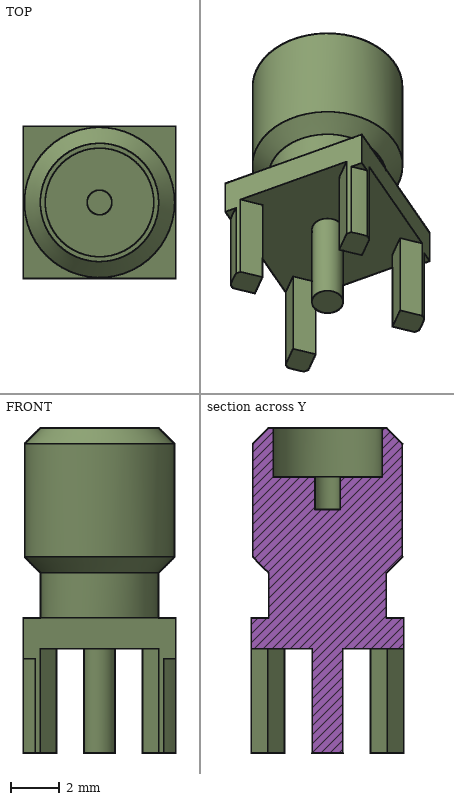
import cadquery as cq
import math

total_height = 13.45
base_side = 6.31
leg_length = 4.3
base_top = 5.6

neck_radius = 2.45
barrel_radius = 3.11
chamfer = barrel_radius - neck_radius
neck_top = 7.45
bore_radius = 2.25
bore_depth = 2.03
socket_radius = 0.51
socket_depth = 1.35

pin_radius = 0.65
leg_width = 1.0
leg_inner_distance = 3.0
corner_cut = 0.5
corner_cut_top = 3.9

half_side = base_side / 2
leg_outer_radius = math.hypot(half_side, half_side - corner_cut)


def make_barrel():
    """Necked, double-chamfered barrel revolved about Z."""
    return (
        cq.Workplane("XZ")
        .moveTo(0, base_top)
        .lineTo(neck_radius, base_top)
        .lineTo(neck_radius, neck_top)
        .lineTo(barrel_radius, neck_top + chamfer)
        .lineTo(barrel_radius, total_height - chamfer)
        .lineTo(neck_radius, total_height)
        .lineTo(0, total_height)
        .close()
        .revolve(360, (0, 0, 0), (0, 1, 0))
    )


def make_legs():
    """Four diagonal legs, flush with the base sides and rounded at the corners."""
    slab_length = base_side - leg_inner_distance
    slab = (
        cq.Workplane("XY")
        .center(leg_inner_distance + slab_length / 2, 0)
        .rect(slab_length, leg_width)
        .extrude(leg_length)
    )
    legs = cq.Workplane("XY")
    for angle in (45, 135, 225, 315):
        legs = legs.add(slab.rotate((0, 0, 0), (0, 0, 1), angle))
    legs = legs.combine()

    square = cq.Workplane("XY").rect(base_side, base_side).extrude(leg_length)
    round_limit = cq.Workplane("XY").circle(leg_outer_radius).extrude(corner_cut_top)
    sharp_limit = (
        cq.Workplane("XY", origin=(0, 0, corner_cut_top))
        .rect(base_side, base_side)
        .extrude(leg_length - corner_cut_top)
    )
    return legs.intersect(square).intersect(round_limit.union(sharp_limit))


base = (
    cq.Workplane("XY", origin=(0, 0, leg_length))
    .rect(base_side, base_side)
    .extrude(base_top - leg_length)
)
pin = cq.Workplane("XY").circle(pin_radius).extrude(leg_length)
body = base.union(make_barrel()).union(make_legs()).union(pin)

top_plane = cq.Workplane("XY", origin=(0, 0, total_height))
bore = top_plane.circle(bore_radius).extrude(-bore_depth)
socket = top_plane.circle(socket_radius).extrude(-bore_depth - socket_depth)

result = body.cut(bore).cut(socket)